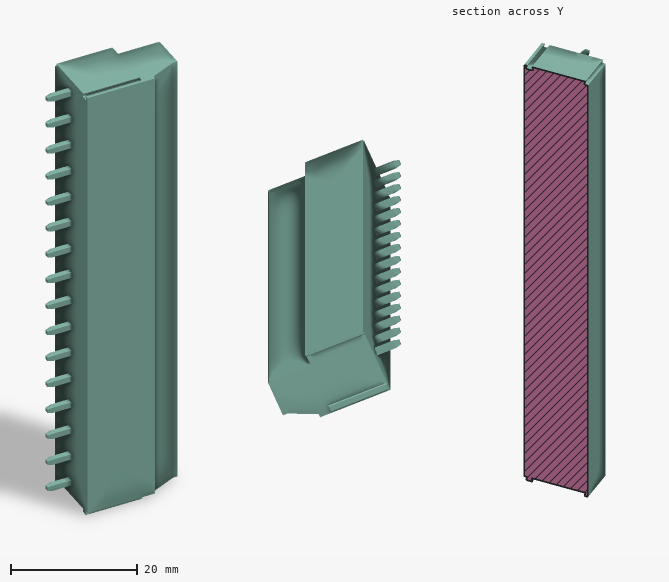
import cadquery as cq

pole_count = 16
pole_pitch = 5.0
body_height = pole_count * pole_pitch

body_width = 11.2
body_depth = 17.4
nose_left = 2.4
nose_right = 8.6
shoulder_depth = 7.4
slope_start_depth = 0.8
corner_bevel = 0.2
slope_end_x = 10.6
slope_end_depth = 5.3

joint_height = 0.65
joint_flare = 0.2
joint_flare_height = 0.52
joint_tip_flare = 0.05
edge_joint_neck = 0.42
slot_joint_left = 9.85
slot_joint_neck = 0.8

pin_x = 5.2
first_pin_z = pole_pitch / 2
pin_width = 1.0
pin_length = 4.2
pin_taper_length = 0.9
pin_tip_width = 0.65


def make_housing():
    outline = [
        (0, -body_depth),
        (body_width, -body_depth),
        (body_width, -slope_end_depth),
        (slope_end_x, -slope_end_depth),
        (nose_right, -slope_start_depth),
        (nose_right, 0),
        (nose_left + corner_bevel, 0),
        (nose_left, -corner_bevel),
        (nose_left, -shoulder_depth),
        (0, -shoulder_depth),
    ]
    return cq.Workplane("XY").polyline(outline).close().extrude(body_height)


def make_joints(neck_z):
    """Both dovetails: they flare downward from neck_z, then draw in slightly to a flat end."""
    wide_z = neck_z - joint_flare_height
    tip_z = neck_z - joint_height
    slot_joint_right = slot_joint_left + slot_joint_neck
    edge_joint = [
        (0, neck_z),
        (edge_joint_neck, neck_z),
        (edge_joint_neck + joint_flare, wide_z),
        (edge_joint_neck + joint_tip_flare, tip_z),
        (0, tip_z),
    ]
    slot_joint = [
        (slot_joint_left, neck_z),
        (slot_joint_right, neck_z),
        (slot_joint_right + joint_flare, wide_z),
        (slot_joint_right + joint_tip_flare, tip_z),
        (slot_joint_left - joint_tip_flare, tip_z),
        (slot_joint_left - joint_flare, wide_z),
    ]
    front_plane = cq.Workplane("XZ", origin=(0, -shoulder_depth, 0))
    joint_length = body_depth - shoulder_depth
    edge_solid = front_plane.polyline(edge_joint).close().extrude(joint_length)
    slot_solid = front_plane.polyline(slot_joint).close().extrude(joint_length)
    return edge_solid.add(slot_solid).combine()


def make_pin(pin_z):
    """Square pin with a tapered tip, standing out of the front face."""
    shank_length = pin_length - pin_taper_length
    shank = (
        cq.Workplane("XZ", origin=(pin_x, -body_depth, pin_z))
        .rect(pin_width, pin_width)
        .extrude(shank_length)
    )
    tip = (
        shank.faces("<Y")
        .workplane()
        .rect(pin_width, pin_width)
        .workplane(offset=pin_taper_length)
        .rect(pin_tip_width, pin_tip_width)
        .loft(combine=False)
    )
    return shank.union(tip)


result = make_housing().cut(make_joints(body_height)).union(make_joints(0))
for pole in range(pole_count):
    result = result.union(make_pin(first_pin_z + pole * pole_pitch))